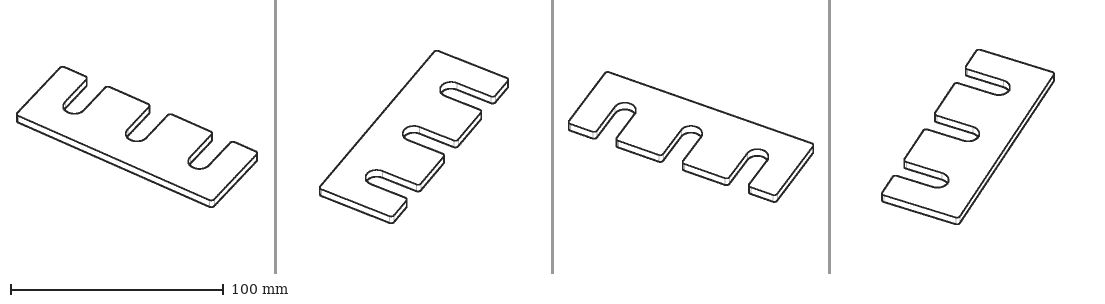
import cadquery as cq

length = 110.0
width = 40.0
thickness = 4.4
corner_radius = 1.5

slot_count = 3
slot_pitch = 35.0
slot_width = 10.5
slot_depth = 25.3

slot_radius = slot_width / 2
back_edge = width / 2
slot_center_y = back_edge - slot_depth + slot_radius
first_slot_x = -slot_pitch * (slot_count - 1) / 2


def plate_outline():
    """Closed outline of the plate, with round-bottomed slots in the back edge."""
    outline = (
        cq.Workplane("XY")
        .moveTo(length / 2, -width / 2)
        .lineTo(-length / 2, -width / 2)
        .lineTo(-length / 2, back_edge)
    )
    for index in range(slot_count):
        center_x = first_slot_x + index * slot_pitch
        left = center_x - slot_radius
        right = center_x + slot_radius
        outline = (
            outline.lineTo(left, back_edge)
            .lineTo(left, slot_center_y)
            .threePointArc((center_x, back_edge - slot_depth), (right, slot_center_y))
            .lineTo(right, back_edge)
        )
    return outline.lineTo(length / 2, back_edge).close()


plate = plate_outline().extrude(thickness)

back_corners = plate.faces(">Y").edges("|Z")
front_corners = plate.faces("<Y").edges("|Z")
result = plate.newObject(back_corners.vals() + front_corners.vals()).fillet(corner_radius)